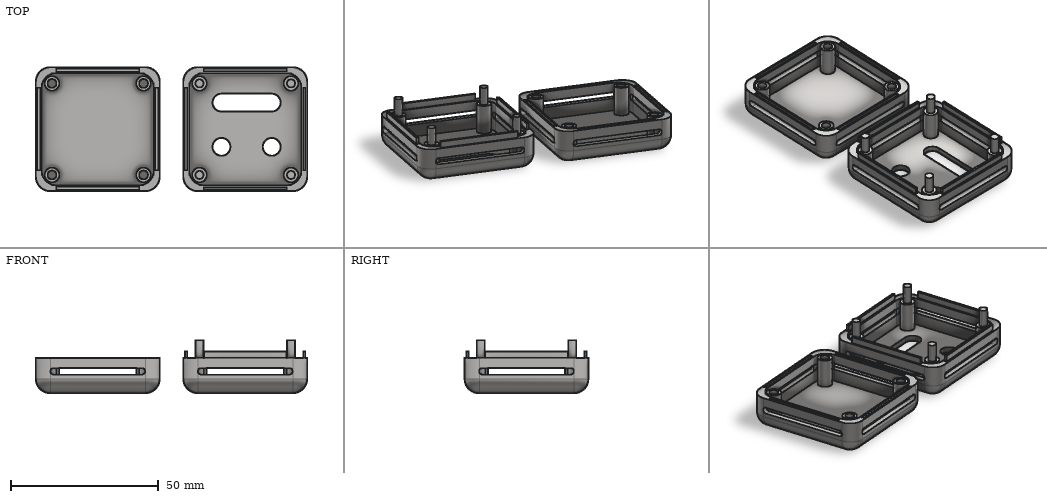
import cadquery as cq

total_length = 92.0
side = 42.0
height = 12.0
corner_radius = 5.0
wall = 2.0
cavity_radius = corner_radius
tray_offset = (total_length - side) / 2

post_inset = 5.5
post_diameter = 5.0
socket_diameter = 3.0
pin_diameter = 2.8
pin_height = 6.1
post_spacing = side - 2 * post_inset

vent_length = side - 2 * corner_radius
vent_height = 2.2
vent_center_height = 7.45
vent_depth = wall

joint_length = 28.0
joint_height = 2.2
joint_inset = wall / 2
groove_width = 1.0
tongue_width = 0.8

opening_diameter = 6.0
opening_spacing = 17.0
openings_shift = 0.5
long_opening_y = 9.0
round_openings_y = -6.0

wall_angles = (0, 90, 180, 270)


def at_posts(base_height):
    """Workplane with one point on each post axis."""
    plane = cq.Workplane("XY").workplane(offset=base_height)
    return plane.rect(post_spacing, post_spacing, forConstruction=True).vertices()


def around_walls(shape):
    """Four copies of a shape on the -Y wall, one for each wall."""
    copies = cq.Workplane("XY")
    for angle in wall_angles:
        copies = copies.add(shape.rotate((0, 0, 0), (0, 0, 1), angle))
    return copies.combine()


def rim_bars(width, base_height):
    """Straight bars along the four walls, centred on the joint line."""
    bar = (
        cq.Workplane("XY")
        .box(joint_length, width, joint_height, centered=(True, True, False))
        .translate((0, joint_inset - side / 2, base_height))
    )
    return around_walls(bar)


def vents():
    """Cutters for the round-ended slots in the walls, leaving shallow blind ends at the corners."""
    vent = (
        cq.Workplane("XZ", origin=(0, -side / 2, vent_center_height))
        .slot2D(vent_length, vent_height)
        .extrude(-vent_depth)
    )
    return around_walls(vent)


def tray():
    """Open tray with a rounded underside, four posts and a vent in each wall."""
    shell = (
        cq.Workplane("XY")
        .box(side, side, height, centered=(True, True, False))
        .edges("|Z")
        .fillet(corner_radius)
        .faces("<Z")
        .edges()
        .fillet(corner_radius)
    )
    cavity_side = side - 2 * wall
    cavity = (
        cq.Workplane("XY")
        .box(cavity_side, cavity_side, height, centered=(True, True, False))
        .edges("|Z")
        .fillet(cavity_radius)
        .translate((0, 0, wall))
    )
    posts = at_posts(wall).circle(post_diameter / 2).extrude(height - wall)
    return shell.cut(cavity).union(posts).cut(vents())


def socket_tray():
    """Tray with a closed floor, hollow posts and grooves in the rim."""
    sockets = at_posts(wall).circle(socket_diameter / 2).extrude(height - wall)
    grooves = rim_bars(groove_width, height - joint_height)
    return tray().cut(sockets).cut(grooves)


def floor_openings():
    """Cutters for the long opening and the two round openings in the floor."""
    floor_plane = cq.Workplane("XY")
    long_opening = (
        floor_plane.center(openings_shift, long_opening_y)
        .slot2D(opening_spacing + opening_diameter, opening_diameter)
        .extrude(wall)
    )
    round_openings = (
        floor_plane.center(openings_shift, round_openings_y)
        .rarray(opening_spacing, 0.9, 2, 1)
        .circle(opening_diameter / 2)
        .extrude(wall)
    )
    return long_opening.union(round_openings)


def pin_tray():
    """Tray with floor openings, pins on its posts and tongues on its rim."""
    pins = at_posts(height).circle(pin_diameter / 2).extrude(pin_height)
    tongues = rim_bars(tongue_width, height)
    return tray().cut(floor_openings()).union(pins).union(tongues)


socket_half = socket_tray().translate((-tray_offset, 0, 0))
pin_half = pin_tray().translate((tray_offset, 0, 0))

result = cq.Compound.makeCompound([socket_half.val(), pin_half.val()])